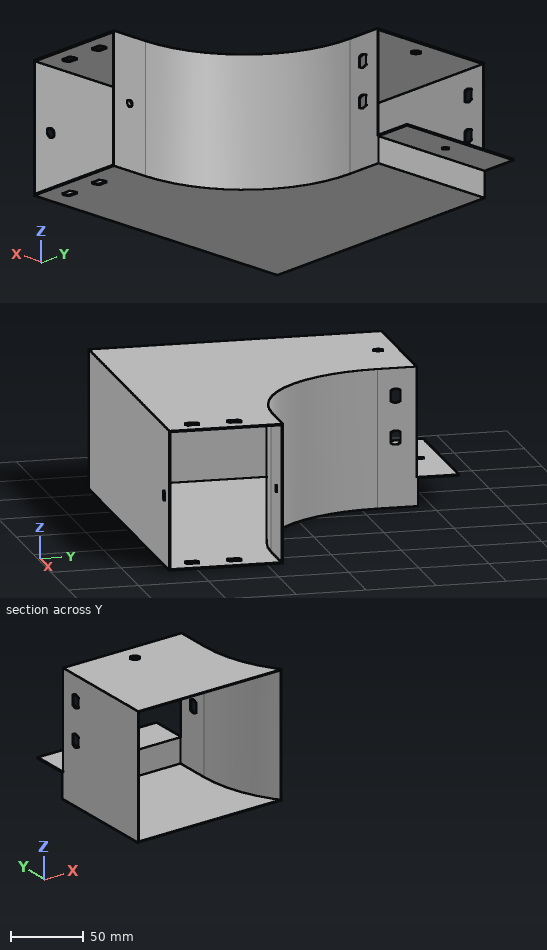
import cadquery as cq
import math

sheet = 1.0
length_x = 231.0
length_y = 209.0
height = 100.0
leg_x_width = 81.0
leg_y_width = 101.0
inner_radius = 100.0

step_height = 21.0
tongue_length = 30.0

end_margin = 15.0
screw_clearance = 7.0
screw_hole = 5.0
slot_width = 7.0
slot_length = 10.0
slot_end_diameter = 10.0
slots_per_wall = 2
slot_spacing = 30.0
slot_edge = 20.0

row_x = length_x - end_margin
row_y = length_y - end_margin
mid_x = leg_y_width / 2
mid_z = height / 2


def elbow_prism(offset, overrun, z_bottom, z_top):
    """L-shaped prism, its sides moved inward by offset and its ends outward by overrun."""
    x_end = length_x + overrun
    y_end = length_y + overrun
    wall_x = leg_y_width - offset
    wall_y = leg_x_width - offset
    radius = inner_radius + offset
    center_x = wall_x + radius
    center_y = wall_y + radius
    diagonal = radius / math.sqrt(2)
    return (
        cq.Workplane("XY", origin=(0, 0, z_bottom))
        .moveTo(offset, offset)
        .lineTo(x_end, offset)
        .lineTo(x_end, wall_y)
        .lineTo(center_x, wall_y)
        .threePointArc((center_x - diagonal, center_y - diagonal), (wall_x, center_y))
        .lineTo(wall_x, y_end)
        .lineTo(offset, y_end)
        .close()
        .extrude(z_top - z_bottom)
    )


def duct_shell():
    outside = elbow_prism(0, 0, 0, height)
    inside = elbow_prism(sheet, sheet, sheet, height - sheet)
    return outside.cut(inside)


def stepped_flange():
    """Upright lip across the +Y end with a tongue reaching outward from its top."""
    lip = cq.Workplane("XY").box(leg_y_width, sheet, step_height, centered=False)
    tongue = (
        cq.Workplane("XY", origin=(0, 0, step_height - sheet))
        .box(leg_y_width, tongue_length, sheet, centered=False)
        .faces(">Z")
        .workplane(origin=(mid_x, tongue_length / 2, step_height))
        .hole(screw_hole)
    )
    return lip.union(tongue).translate((0, length_y, 0))


def slot(plane, depth):
    """Slot with shallow rounded ends, long along the plane's local Y."""
    flat_sides = cq.Workplane(plane).rect(slot_width, slot_length).extrude(depth)
    round_ends = cq.Workplane(plane).circle(slot_end_diameter / 2).extrude(depth)
    return flat_sides.intersect(round_ends)


def cut_slots(body):
    """Slot pairs through both walls of each leg."""
    for index in range(slots_per_wall):
        step = index * slot_spacing
        body = body.cut(slot("XY", height).translate((row_x, slot_edge + step, 0)))
        body = body.cut(slot("YZ", leg_y_width).translate((0, row_y, height - slot_edge - step)))
    return body


def cut_screw_holes(body):
    """Clearance holes in the top and front walls, a smaller hole in the inner wall."""
    top_hole = (
        cq.Workplane("XY", origin=(mid_x, row_y, height - sheet))
        .circle(screw_clearance / 2)
        .extrude(sheet)
    )
    front_hole = (
        cq.Workplane("XZ", origin=(row_x, sheet, mid_z))
        .circle(screw_clearance / 2)
        .extrude(sheet)
    )
    inner_hole = (
        cq.Workplane("XZ", origin=(row_x, leg_x_width, mid_z))
        .circle(screw_hole / 2)
        .extrude(sheet)
    )
    return body.cut(top_hole).cut(front_hole).cut(inner_hole)


shell = cut_screw_holes(cut_slots(duct_shell()))
result = shell.union(stepped_flange())